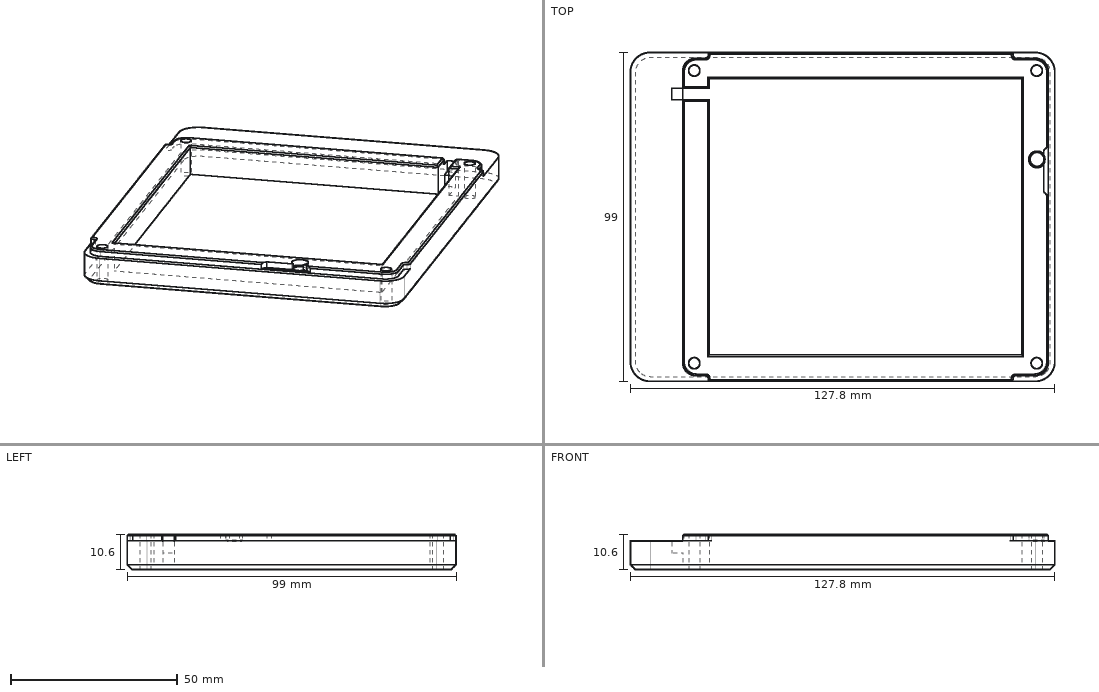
import cadquery as cq

length = 127.75
width = 99.0
total_height = 10.6
frame_height = 2.0
base_height = total_height - frame_height
base_corner_radius = 6.0
base_chamfer = 1.5

frame_length = 110.0
right_margin = 2.0
frame_left = -frame_length / 2
frame_right = frame_length / 2
base_right = frame_right + right_margin
base_left = base_right - length
frame_corner_inset = 1.75
frame_corner_radius = 4.0
side_step_left = -47.3
side_step_right = 44.4
side_step_radius = 0.85
edge_chamfer = 0.5

pocket_length = 94.0
pocket_width = 83.0
floor_thickness = 1.6
pocket_left = -pocket_length / 2

screw_diameter = 3.3
screw_spacing_x = 103.0
screw_spacing_y = 88.0

groove_width = 3.4
groove_y = 37.0
groove_run_out = 3.2
run_out_depth = 3.5
mouth_chamfer = 0.4

recess_diameter = 5.0
recess_x = 51.6
recess_y = 17.3
recess_depth = 2.1
slot_top_y = 21.4
slot_bottom_y = 6.15
slot_inset = 1.4
slot_depth = 1.8
recess_chamfer = 0.4


def block(x_min, x_max, y_min, y_max, z_min, z_max):
    """Box given by its limits along each axis."""
    return cq.Workplane("XY").box(
        x_max - x_min, y_max - y_min, z_max - z_min, centered=False
    ).translate((x_min, y_min, z_min))


def make_base():
    half_width = width / 2
    base = block(base_left, base_right, -half_width, half_width, 0, base_height)
    base = base.edges("|Z").fillet(base_corner_radius)
    return base.faces("<Z").edges().chamfer(base_chamfer)


def make_frame():
    """Rounded plate whose long sides step out flush with the base between the corners."""
    corner_y = width / 2 - frame_corner_inset
    plate = block(frame_left, frame_right, -corner_y, corner_y, base_height, total_height)
    plate = plate.edges("|Z").fillet(frame_corner_radius)
    step = block(
        side_step_left, side_step_right, -width / 2, width / 2, base_height, total_height
    )
    frame = plate.union(step)
    step_corners = cq.selectors.BoxSelector(
        (side_step_left - side_step_radius, -width, base_height),
        (side_step_right + side_step_radius, width, total_height),
    )
    return frame.edges("|Z").edges(step_corners).fillet(side_step_radius)


def make_pocket():
    """Rectangular pocket and the groove leading out of it, down to the same floor."""
    pocket = block(
        pocket_left, -pocket_left, -pocket_width / 2, pocket_width / 2, floor_thickness, total_height
    )
    groove = block(
        frame_left, pocket_left, groove_y - groove_width / 2, groove_y + groove_width / 2,
        floor_thickness, total_height,
    )
    return pocket.union(groove)


def make_groove_run_out():
    """Shallower end of the groove, left of the frame and sunk into the base."""
    return block(
        frame_left - groove_run_out, frame_left,
        groove_y - groove_width / 2, groove_y + groove_width / 2,
        base_height - run_out_depth, base_height,
    )


def open_and_bevel(frame):
    """Open the frame for pocket and groove, then bevel the groove mouth and the top edges."""
    groove_mouth = cq.selectors.BoxSelector(
        (frame_left - mouth_chamfer, groove_y - groove_width, base_height),
        (frame_left + mouth_chamfer, groove_y + groove_width, total_height),
    )
    opened = frame.cut(make_pocket())
    opened = opened.edges("|Z").edges(groove_mouth).chamfer(mouth_chamfer)
    return opened.faces(">Z").edges().chamfer(edge_chamfer)


def make_screw_holes():
    return (
        cq.Workplane("XY")
        .rarray(screw_spacing_x, screw_spacing_y, 2, 2)
        .circle(screw_diameter / 2)
        .extrude(total_height)
    )


def make_edge_slot():
    """Slot open to the right side of the frame, flaring at 45 degrees at both ends."""
    inner_x = frame_right - slot_inset
    return (
        cq.Workplane("XY", origin=(0, 0, total_height - slot_depth))
        .moveTo(inner_x, slot_bottom_y + slot_inset)
        .lineTo(frame_right, slot_bottom_y)
        .lineTo(frame_right, slot_top_y)
        .lineTo(inner_x, slot_top_y - slot_inset)
        .close()
        .extrude(slot_depth)
    )


def make_recess():
    """Round blind recess with a bevelled floor edge."""
    recess = (
        cq.Workplane("XY", origin=(recess_x, recess_y, total_height - recess_depth))
        .circle(recess_diameter / 2)
        .extrude(recess_depth)
    )
    return recess.faces("<Z").edges().chamfer(recess_chamfer)


result = (
    make_base()
    .cut(make_pocket())
    .cut(make_groove_run_out())
    .union(open_and_bevel(make_frame()))
    .cut(make_screw_holes())
    .cut(make_edge_slot())
    .cut(make_recess())
)